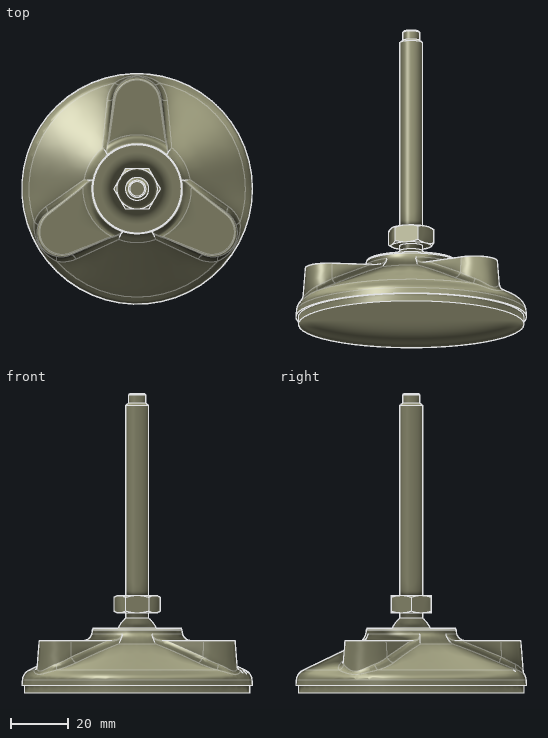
import cadquery as cq
import math

PAD_RADIUS = 39.1
PAD_HEIGHT = 2.6

RIM_RADIUS = 40.0
RIM_DRAFT = math.radians(4.5)
RIM_ROUND = 4.2
CONE_FOOT_RADIUS = 37.5
CONE_FOOT_Z = 8.0
CONE_SLOPE = math.radians(25.7)

BOSS_RADIUS = 15.6
BOSS_TOP_Z = 22.5
BOSS_CHAMFER = 0.3
BOSS_BLEND = 5.4

LUG_COUNT = 3
FIRST_LUG_ANGLE = 90.0
LUG_TOP_Z = 18.25
LUG_BOTTOM_Z = 3.0
LUG_INNER_X = 12.0
LUG_END_CENTRE_X = 30.0
LUG_END_RADIUS = 8.0
LUG_PLAN_TAPER = math.radians(8.2)
LUG_DRAFT_DEGREES = 4.5
LUG_FOOT_BLEND = 2.5
LUG_BOSS_BLEND = 3.1
LUG_EDGE_ROUND = 0.3
LUG_BLANK_TOP_Z = 24.0

SPINDLE_RADIUS = 4.0
NECK_FOOT_RADIUS = 6.69
NECK_TOP_Z = 26.0
NECK_BULGE = 0.25
SHOULDER_Z = 99.7
TIP_RADIUS = 3.0
TIP_START_Z = 100.5
TIP_CHAMFER = 0.45
TOTAL_HEIGHT = 103.78

HEX_SIDES = 6
HEX_ACROSS_FLATS = 14.0
HEX_BOTTOM_Z = 27.8
HEX_HEIGHT = 6.0
HEX_CHAMFER_SLOPE = math.radians(30)

CLEARANCE = 5.0

TOLERANCE = 0.01


def revolve_about_z(profile):
    return profile.close().revolve(360, (0, 0, 0), (0, 1, 0))


def cone_height(radius):
    return CONE_FOOT_Z + (CONE_FOOT_RADIUS - radius) * math.tan(CONE_SLOPE)


def rim_profile():
    """Half section from the axis, around the pad and the rim, to the foot of the cone."""
    centre_r = CONE_FOOT_RADIUS - RIM_ROUND * math.sin(CONE_SLOPE)
    centre_z = CONE_FOOT_Z - RIM_ROUND * math.cos(CONE_SLOPE)

    def on_rim(angle):
        return (centre_r + RIM_ROUND * math.cos(angle), centre_z + RIM_ROUND * math.sin(angle))

    end_angle = math.pi / 2 - CONE_SLOPE
    return (
        cq.Workplane("XZ")
        .lineTo(PAD_RADIUS, 0)
        .lineTo(PAD_RADIUS, PAD_HEIGHT)
        .lineTo(RIM_RADIUS, PAD_HEIGHT)
        .lineTo(*on_rim(RIM_DRAFT))
        .threePointArc(on_rim((RIM_DRAFT + end_angle) / 2), on_rim(end_angle))
    )


def boss_blend_centre():
    centre_r = BOSS_RADIUS + BOSS_BLEND
    foot_r = centre_r - BOSS_BLEND * math.sin(CONE_SLOPE)
    return centre_r, cone_height(foot_r) + BOSS_BLEND * math.cos(CONE_SLOPE)


def make_base():
    """Base and boss, with a concave blend between the cone and the chamfered boss edge."""
    centre_r, centre_z = boss_blend_centre()
    foot_r = centre_r - BOSS_BLEND * math.sin(CONE_SLOPE)
    middle_angle = (CONE_SLOPE + math.pi / 2) / 2
    middle = (
        centre_r - BOSS_BLEND * math.sin(middle_angle),
        centre_z - BOSS_BLEND * math.cos(middle_angle),
    )
    profile = (
        rim_profile()
        .lineTo(foot_r, cone_height(foot_r))
        .threePointArc(middle, (BOSS_RADIUS, centre_z))
        .lineTo(BOSS_RADIUS - BOSS_CHAMFER, BOSS_TOP_Z)
        .lineTo(0, BOSS_TOP_Z)
    )
    return revolve_about_z(profile)


def make_lug_blank():
    """Drafted lug along +X, taller than the finished lug, with a round outer end."""
    height = LUG_BLANK_TOP_Z - LUG_BOTTOM_Z
    draft_run = (LUG_BLANK_TOP_Z - LUG_TOP_Z) * math.tan(math.radians(LUG_DRAFT_DEGREES))
    end_radius = LUG_END_RADIUS - draft_run
    tangent_x = LUG_END_CENTRE_X + end_radius * math.sin(LUG_PLAN_TAPER)
    tangent_y = end_radius * math.cos(LUG_PLAN_TAPER)
    inner_y = tangent_y + tangent_x * math.tan(LUG_PLAN_TAPER)
    return (
        cq.Workplane("XY", origin=(0, 0, LUG_BLANK_TOP_Z))
        .moveTo(0, -inner_y)
        .lineTo(tangent_x, -tangent_y)
        .threePointArc((LUG_END_CENTRE_X + end_radius, 0), (tangent_x, tangent_y))
        .lineTo(0, inner_y)
        .close()
        .extrude(-height, taper=-LUG_DRAFT_DEGREES)
    )


def make_lug_top_cutter():
    """Turned body that leaves the flat lug top and its blend, tangent to the blend of the boss."""
    boss_r, boss_z = boss_blend_centre()
    centre_z = LUG_TOP_Z + LUG_BOSS_BLEND
    centre_gap = BOSS_BLEND - LUG_BOSS_BLEND
    tangent_angle = math.asin((boss_z - centre_z) / centre_gap)
    centre_r = boss_r - centre_gap * math.cos(tangent_angle)

    def on_blend(angle):
        return (centre_r - LUG_BOSS_BLEND * math.cos(angle), centre_z - LUG_BOSS_BLEND * math.sin(angle))

    inner_z = on_blend(tangent_angle)[1]
    outer_r = RIM_RADIUS + CLEARANCE
    profile = (
        cq.Workplane("XZ")
        .moveTo(0, inner_z)
        .lineTo(*on_blend(tangent_angle))
        .threePointArc(on_blend((tangent_angle + math.pi / 2) / 2), on_blend(math.pi / 2))
        .lineTo(outer_r, LUG_TOP_Z)
        .lineTo(outer_r, LUG_BLANK_TOP_Z + CLEARANCE)
        .lineTo(0, LUG_BLANK_TOP_Z + CLEARANCE)
    )
    return revolve_about_z(profile).rotate((0, 0, 0), (0, 0, 1), 180)


def make_lug_sector():
    """One lug along +X, blended into the cone and the rim, and into the boss at its inner end."""
    plain_cone = revolve_about_z(rim_profile().lineTo(0, cone_height(0)))
    plain_cone = plain_cone.rotate((0, 0, 0), (0, 0, 1), 180)
    box_size = 2 * RIM_RADIUS + CLEARANCE
    outer_half = (
        cq.Workplane("XY")
        .box(box_size, box_size, box_size, centered=(False, True, False))
        .translate((LUG_INNER_X, 0, 0))
    )
    sector = plain_cone.union(make_lug_blank()).intersect(outer_half)

    def is_foot_edge(edge):
        box = edge.BoundingBox()
        slopes = box.zmax - box.zmin > TOLERANCE
        outside = box.xmax > LUG_INNER_X + TOLERANCE
        return slopes and outside and edge.geomType() != "LINE"

    foot_edges = [edge for edge in sector.edges().vals() if is_foot_edge(edge)]
    sector = sector.newObject([sector.val().fillet(LUG_FOOT_BLEND, foot_edges)])
    sector = sector.cut(make_lug_top_cutter())

    def is_top_edge(edge):
        box = edge.BoundingBox()
        level = max(abs(box.zmin - LUG_TOP_Z), abs(box.zmax - LUG_TOP_Z)) < TOLERANCE
        return level and box.xmax > LUG_END_CENTRE_X

    top_edges = [edge for edge in sector.edges().vals() if is_top_edge(edge)]
    return sector.newObject([sector.val().fillet(LUG_EDGE_ROUND, top_edges)])


def make_foot():
    sector = make_lug_sector()
    foot = make_base()
    for i in range(LUG_COUNT):
        angle = FIRST_LUG_ANGLE + i * 360 / LUG_COUNT
        foot = foot.union(sector.rotate((0, 0, 0), (0, 0, 1), angle))
    return foot


def make_spindle():
    """Stepped pin with a bulged flared neck, its lower end sunk through the foot."""
    profile = (
        cq.Workplane("XZ")
        .lineTo(NECK_FOOT_RADIUS, 0)
        .lineTo(NECK_FOOT_RADIUS, BOSS_TOP_Z)
        .sagittaArc((SPINDLE_RADIUS, NECK_TOP_Z), -NECK_BULGE)
        .lineTo(SPINDLE_RADIUS, SHOULDER_Z)
        .lineTo(TIP_RADIUS, TIP_START_Z)
        .lineTo(TIP_RADIUS, TOTAL_HEIGHT - TIP_CHAMFER)
        .lineTo(TIP_RADIUS - TIP_CHAMFER, TOTAL_HEIGHT)
        .lineTo(0, TOTAL_HEIGHT)
    )
    return revolve_about_z(profile)


def make_hexagon():
    """Hexagon with corners on the X axis, its corners turned off at both ends."""
    flat_radius = HEX_ACROSS_FLATS / 2
    corner_radius = flat_radius / math.cos(math.pi / HEX_SIDES)
    chamfer_drop = (corner_radius - flat_radius) * math.tan(HEX_CHAMFER_SLOPE)
    prism = (
        cq.Workplane("XY", origin=(0, 0, HEX_BOTTOM_Z))
        .polygon(HEX_SIDES, 2 * corner_radius)
        .extrude(HEX_HEIGHT)
    )
    top_z = HEX_BOTTOM_Z + HEX_HEIGHT
    turned = revolve_about_z(
        cq.Workplane("XZ")
        .moveTo(0, HEX_BOTTOM_Z)
        .lineTo(flat_radius, HEX_BOTTOM_Z)
        .lineTo(corner_radius, HEX_BOTTOM_Z + chamfer_drop)
        .lineTo(corner_radius, top_z - chamfer_drop)
        .lineTo(flat_radius, top_z)
        .lineTo(0, top_z)
    )
    return prism.intersect(turned)


result = make_foot().union(make_spindle()).union(make_hexagon())